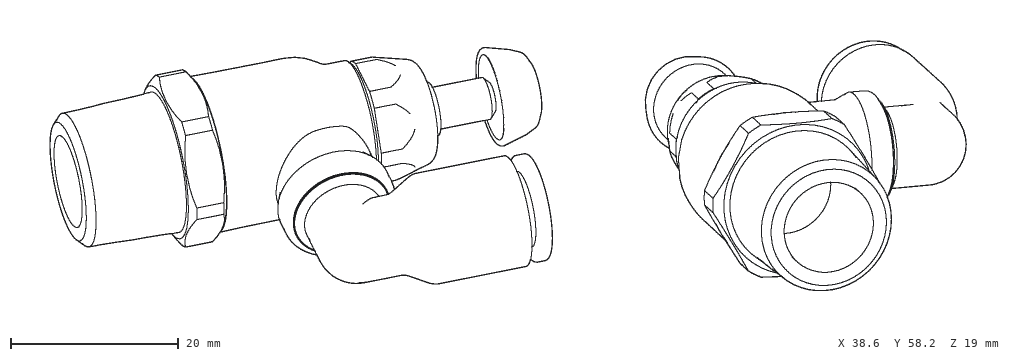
import cadquery as cq
import math

length = 58.2

thread_start_radius = 8.15
thread_end_radius = 8.55
thread_chamfer = 0.95
gauge_y = 6.4
bore_radius = 5.6

hex_bottom_y = 12.1
hex_top_y = 16.9
hex_flat_radius = 9.5
hex_corner_radius = 10.5
hex_bevel_radius = 9.3
hex_bevel_height = 0.7

body_bottom_radius = hex_flat_radius
body_top_radius = 9.4
shoulder_start_y = 28.8
shoulder_end_y = 32.5
shoulder_end_radius = 8.3
collar_blend_y = 32.8
collar_blend_radius = 8.1
collar_start_y = 33.9
collar_top_y = 36.5
collar_radius = 7.75
collar_chamfer = 0.35

nut_bottom_y = 36.85
nut_cone_y = 39.5
nut_top_y = 44.6
nut_flat_radius = 7.0
nut_corner_radius = 7.5
nut_cone_top_radius = 6.15
nut_top_fillet = 1.35
nut_neck_radius = 5.8

washer_radius = 3.25
washer_top_y = 45.6
stem_radius = 2.55
stem_shoulder_y = 52.25
stem_end_chamfer = 0.7
knob_bottom_y = 52.8
knob_radius = 6.0
knob_side_start_y = 53.3
knob_lip_radius = 5.6
knob_lip_inner_radius = 5.2
knob_recess_y = 52.95
knob_dome_top_y = 57.4
knob_dome_top_radius = 4.65
knob_bevel_y = 57.75
knob_bevel_radius = 4.3
knob_face_radius = 3.45

branch_y = 29.35
branch_radius = 6.3
branch_flare_x = 10.5
flare_cone_x = 11.0
flare_cone_radius = 6.4
ring_start_x = 12.45
ring_end_x = 14.4
ring_radius = 7.05
ring_round_x = 15.1
ring_round_radius = 6.7
land_start_x = 15.5
land_end_x = 15.65
ring_face_radius = 6.05
land_radius = 5.95
branch_cone_end_x = 16.3

elbow_x = 21.35
elbow_radius = 4.9
socket_radius = 6.75
socket_flare_y = 33.9
socket_cone_start_y = 35.1
socket_cone_start_radius = 5.25
socket_cone_end_y = 37.25
socket_cone_end_radius = 6.45
socket_start_y = 38.45
socket_top_y = 49.2
release_neck_radius = 4.6
release_flange_y = 50.35
release_top_y = 51.9
release_flange_radius = 6.5
release_edge_round = 0.35

Y_DIRECTION = (0, 1, 0)


def start_profile(y):
    """Half profile in (radius, y), starting on the Y axis."""
    return cq.Workplane("XY").moveTo(0, y)


def turn(profile):
    """Close a half profile along the Y axis and revolve it."""
    return profile.close().revolve(360, (0, 0, 0), Y_DIRECTION)


def hexagon(flat_radius, bottom_y, top_y):
    """Hexagonal prism along Y with corners on +X and -X."""
    corner_diameter = 2 * flat_radius / math.cos(math.pi / 6)
    plane = cq.Workplane("XZ", origin=(0, bottom_y, 0))
    return plane.polygon(6, corner_diameter).extrude(bottom_y - top_y)


def make_thread():
    chamfer_face_radius = thread_start_radius - thread_chamfer
    gauge_radius = (thread_start_radius + thread_end_radius) / 2
    return turn(
        start_profile(0)
        .lineTo(chamfer_face_radius, 0)
        .lineTo(thread_start_radius, thread_chamfer)
        .lineTo(gauge_radius, gauge_y)
        .lineTo(thread_end_radius, hex_bottom_y)
        .lineTo(0, hex_bottom_y)
    )


def make_wrench_hex():
    bevelled_disc = turn(
        start_profile(hex_bottom_y)
        .lineTo(hex_bevel_radius, hex_bottom_y)
        .lineTo(hex_corner_radius, hex_bottom_y + hex_bevel_height)
        .lineTo(hex_corner_radius, hex_top_y - hex_bevel_height)
        .lineTo(hex_bevel_radius, hex_top_y)
        .lineTo(0, hex_top_y)
    )
    return hexagon(hex_flat_radius, hex_bottom_y, hex_top_y).intersect(bevelled_disc)


def make_body():
    return turn(
        start_profile(hex_top_y)
        .lineTo(body_bottom_radius, hex_top_y)
        .lineTo(body_top_radius, shoulder_start_y)
        .tangentArcPoint((shoulder_end_radius, shoulder_end_y), relative=False)
        .lineTo(collar_blend_radius, collar_blend_y)
        .tangentArcPoint((collar_radius, collar_start_y), relative=False)
        .lineTo(collar_radius, collar_top_y - collar_chamfer)
        .lineTo(collar_radius - collar_chamfer, collar_top_y)
        .lineTo(nut_neck_radius, collar_top_y)
        .lineTo(nut_neck_radius, nut_bottom_y)
        .lineTo(0, nut_bottom_y)
    )


def make_locknut():
    cone = turn(
        start_profile(nut_bottom_y)
        .lineTo(nut_corner_radius, nut_bottom_y)
        .lineTo(nut_corner_radius, nut_cone_y)
        .lineTo(nut_cone_top_radius, nut_top_y)
        .lineTo(0, nut_top_y)
    )
    rounded_cone = cone.faces(">Y").edges().fillet(nut_top_fillet)
    return hexagon(nut_flat_radius, nut_bottom_y, nut_top_y).intersect(rounded_cone)


def make_stem():
    return turn(
        start_profile(nut_top_y)
        .lineTo(washer_radius, nut_top_y)
        .lineTo(washer_radius, washer_top_y)
        .lineTo(stem_radius, washer_top_y)
        .lineTo(stem_radius, stem_shoulder_y)
        .lineTo(stem_radius - stem_end_chamfer, stem_shoulder_y + stem_end_chamfer)
        .lineTo(0, stem_shoulder_y + stem_end_chamfer)
    )


def make_knob():
    return turn(
        start_profile(knob_recess_y)
        .lineTo(knob_lip_inner_radius, knob_recess_y)
        .threePointArc((knob_lip_radius, knob_bottom_y), (knob_radius, knob_side_start_y))
        .tangentArcPoint((knob_dome_top_radius, knob_dome_top_y), relative=False)
        .tangentArcPoint((knob_bevel_radius, knob_bevel_y), relative=False)
        .lineTo(knob_face_radius, length)
        .lineTo(0, length)
    )


def make_branch():
    """Branch profile in (distance along X, radius), revolved about its own axis."""
    profile = (
        cq.Workplane("XY", origin=(0, branch_y, 0))
        .lineTo(0, branch_radius)
        .lineTo(branch_flare_x, branch_radius)
        .tangentArcPoint((flare_cone_x, flare_cone_radius), relative=False)
        .lineTo(ring_start_x, ring_radius)
        .lineTo(ring_end_x, ring_radius)
        .tangentArcPoint((ring_round_x, ring_round_radius), relative=False)
        .lineTo(land_start_x, ring_face_radius)
        .lineTo(land_start_x, land_radius)
        .lineTo(land_end_x, land_radius)
        .lineTo(branch_cone_end_x, elbow_radius)
        .lineTo(elbow_x, elbow_radius)
        .lineTo(elbow_x, 0)
    )
    return profile.close().revolve(360, (0, 0, 0), (1, 0, 0))


def make_socket():
    """Elbow arm that flares into the tube socket, with a ball at the corner."""
    arm = turn(
        start_profile(branch_y)
        .lineTo(elbow_radius, branch_y)
        .lineTo(elbow_radius, socket_flare_y)
        .tangentArcPoint((socket_cone_start_radius, socket_cone_start_y), relative=False)
        .lineTo(socket_cone_end_radius, socket_cone_end_y)
        .tangentArcPoint((socket_radius, socket_start_y), relative=False)
        .lineTo(socket_radius, socket_top_y)
        .lineTo(release_neck_radius, socket_top_y)
        .lineTo(release_neck_radius, release_flange_y)
        .lineTo(0, release_flange_y)
    )
    flange = turn(
        start_profile(release_flange_y)
        .lineTo(release_flange_radius, release_flange_y)
        .lineTo(release_flange_radius, release_top_y)
        .lineTo(0, release_top_y)
    )
    flange = flange.edges().edges("%CIRCLE").fillet(release_edge_round)
    corner_ball = cq.Workplane("XY", origin=(0, branch_y, 0)).sphere(elbow_radius)
    return arm.union(flange).union(corner_ball).translate((elbow_x, 0, 0))


def make_bore():
    """Blind bore through the thread and the wrench hexagon."""
    return cq.Workplane("XZ").circle(bore_radius).extrude(-hex_top_y)


result = make_thread()
for section in (
    make_wrench_hex(),
    make_body(),
    make_locknut(),
    make_stem(),
    make_knob(),
    make_branch(),
    make_socket(),
):
    result = result.union(section)
result = result.cut(make_bore())